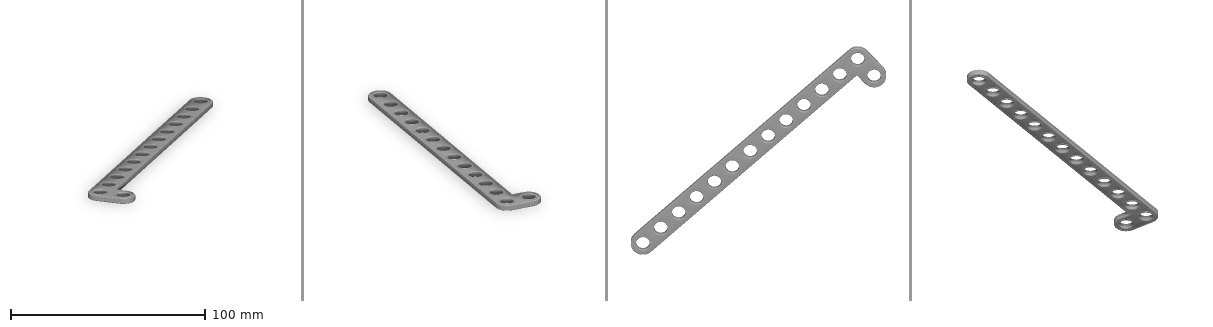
import cadquery as cq

pitch = 12.5
long_arm_holes = 13
short_arm_holes = 2

strap_width = pitch
thickness = pitch / 4
edge_chamfer = 0.3

hole_diameter = 7.0
hole_chamfer = 0.3

recess_depth = 0.2
rim_width = 0.8
hole_rim_diameter = hole_diameter + 2 * (hole_chamfer + rim_width)
recess_inset = edge_chamfer + rim_width

long_span = (long_arm_holes - 1) * pitch
short_span = (short_arm_holes - 1) * pitch
corner_x = -short_span / 2
corner_y = -long_span / 2
half_thickness = thickness / 2


def hole_centres():
    """Centres of all holes, the corner hole counted once."""
    long_arm = [(corner_x, corner_y + i * pitch) for i in range(long_arm_holes)]
    short_arm = [(corner_x + i * pitch, corner_y) for i in range(1, short_arm_holes)]
    return long_arm + short_arm


def l_shape(width, height):
    """L-shaped plate of two round-ended arms that meet at the corner hole, standing on Z = 0."""
    long_arm = (
        cq.Workplane("XY")
        .center(corner_x, corner_y + long_span / 2)
        .slot2D(long_span + width, width, 90)
        .extrude(height)
    )
    short_arm = (
        cq.Workplane("XY")
        .center(corner_x + short_span / 2, corner_y)
        .slot2D(short_span + width, width)
        .extrude(height)
    )
    return long_arm.union(short_arm).clean()


def strap_body():
    """Plate with its rim chamfered on both faces, centred on Z = 0."""
    body = l_shape(strap_width, thickness).translate((0, 0, -half_thickness))
    return body.faces("<Z or >Z").edges().chamfer(edge_chamfer)


def recess_cutter():
    """Volume removed from the upper face: an inset L less the hole rims."""
    recess = l_shape(strap_width - 2 * recess_inset, recess_depth)
    hole_rims = (
        cq.Workplane("XY")
        .pushPoints(hole_centres())
        .circle(hole_rim_diameter / 2)
        .extrude(recess_depth)
    )
    return recess.cut(hole_rims).translate((0, 0, half_thickness - recess_depth))


def hole_cutter():
    """Revolved tool for one through hole with a chamfer at each end."""
    bore_radius = hole_diameter / 2
    mouth_radius = bore_radius + hole_chamfer
    bore_end_z = half_thickness - hole_chamfer
    return (
        cq.Workplane("XZ")
        .moveTo(0, -half_thickness)
        .lineTo(mouth_radius, -half_thickness)
        .lineTo(bore_radius, -bore_end_z)
        .lineTo(bore_radius, bore_end_z)
        .lineTo(mouth_radius, half_thickness)
        .lineTo(0, half_thickness)
        .close()
        .revolve(360, (0, 0, 0), (0, 1, 0))
    )


upper_recess = recess_cutter()
lower_recess = upper_recess.mirror("XY")
result = strap_body().cut(upper_recess).cut(lower_recess)

cutter = hole_cutter()
for x, y in hole_centres():
    result = result.cut(cutter.translate((x, y, 0)))